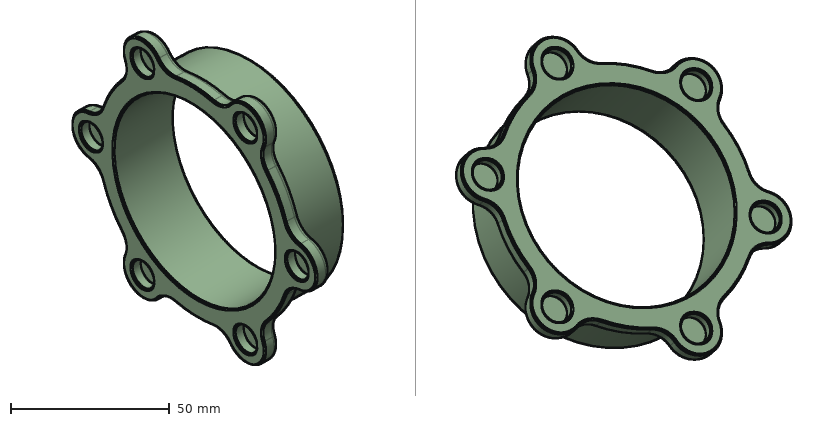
import cadquery as cq
import math

bore_radius = 37.0
sleeve_radius = 42.0
total_length = 26.0
sleeve_end_chamfer = 1.0

flange_thickness = 6.0
rim_radius = 44.5
lobe_count = 6
lobe_radius = 9.0
flange_tip_radius = 56.5
bolt_circle_radius = flange_tip_radius - lobe_radius
blend_radius = 7.9
flange_back_fillet = 2.0
edge_chamfer = 0.51

hole_radius = 5.0
hole_depth = 4.0

lobe_pitch = 2 * math.pi / lobe_count


def polar(radius, angle):
    return (radius * math.cos(angle), radius * math.sin(angle))


def point_toward(start, end, distance):
    """Point at the given distance from start on the line to end."""
    fraction = distance / math.dist(start, end)
    return tuple(a + fraction * (b - a) for a, b in zip(start, end))


def blend_arc(lobe_angle, side):
    """Lobe end, middle and rim end of the concave arc on one side (+1 or -1) of a lobe."""
    to_origin = rim_radius + blend_radius
    to_lobe = lobe_radius + blend_radius
    cosine = (to_origin**2 + bolt_circle_radius**2 - to_lobe**2) / (2 * to_origin * bolt_circle_radius)
    arc_angle = lobe_angle + side * math.acos(cosine)
    arc_center = polar(to_origin, arc_angle)
    lobe_end = point_toward(arc_center, polar(bolt_circle_radius, lobe_angle), blend_radius)
    rim_end = polar(rim_radius, arc_angle)
    chord_middle = tuple((a + b) / 2 for a, b in zip(lobe_end, rim_end))
    middle = point_toward(arc_center, chord_middle, blend_radius)
    return lobe_end, middle, rim_end


def flange_plate():
    """Lobed plate with its front face at Y = 0, a rounded back edge and a chamfered front edge."""
    outline = cq.Workplane("XZ").moveTo(*blend_arc(0, -1)[2])
    for index in range(lobe_count):
        angle = index * lobe_pitch
        lobe_start, entry_middle, _ = blend_arc(angle, -1)
        lobe_end, exit_middle, rim_start = blend_arc(angle, 1)
        next_blend_start = blend_arc(angle + lobe_pitch, -1)[2]
        lobe_tip = polar(flange_tip_radius, angle)
        outline = outline.threePointArc(entry_middle, lobe_start)
        outline = outline.threePointArc(lobe_tip, lobe_end)
        outline = outline.threePointArc(exit_middle, rim_start)
        outline = outline.threePointArc(polar(rim_radius, angle + lobe_pitch / 2), next_blend_start)
    plate = outline.close().extrude(-flange_thickness)
    plate = plate.faces(">Y").edges().fillet(flange_back_fillet)
    return plate.faces("<Y").edges().chamfer(edge_chamfer)


def sleeve():
    """Outer body of the sleeve, still solid, with a chamfered back edge."""
    body = cq.Workplane("XZ").circle(sleeve_radius).extrude(-total_length)
    return body.faces(">Y").edges().chamfer(sleeve_end_chamfer)


def chamfered_hole(radius, depth):
    """Cutter for a hole from Y = 0 toward +Y with a chamfered mouth."""
    shaft = cq.Workplane("XZ").circle(radius).extrude(-depth)
    mouth = cq.Solid.makeCone(
        radius + edge_chamfer, radius, edge_chamfer, cq.Vector(0, 0, 0), cq.Vector(0, 1, 0)
    )
    return shaft.union(cq.Workplane(mouth))


result = flange_plate().union(sleeve())
result = result.cut(chamfered_hole(bore_radius, total_length))
result = result.faces(">Y").edges(cq.selectors.RadiusNthSelector(0)).chamfer(edge_chamfer)
for index in range(lobe_count):
    x, z = polar(bolt_circle_radius, index * lobe_pitch)
    result = result.cut(chamfered_hole(hole_radius, hole_depth).translate((x, 0, z)))